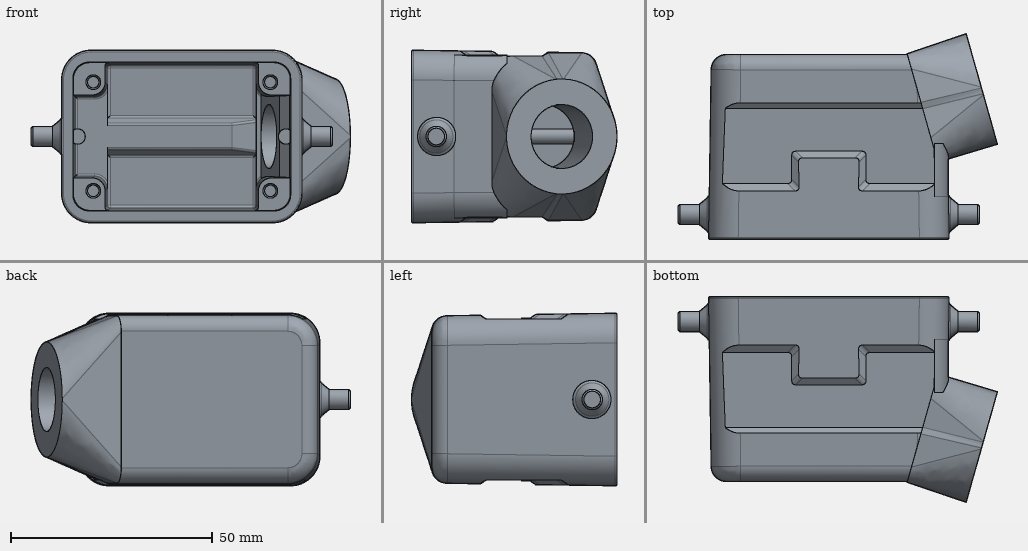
import cadquery as cq
import math


MARGIN = 0.8

BODY_LENGTH = 59.8
BODY_HEIGHT = 43.0
BODY_DEPTH = 46.0
BODY_CORNER = 7.4
BODY_DRAFT = 0.85
BACK_ROUND = 3.9
MOUTH_ROUND = 0.5
BACK_HALF_HEIGHT = BODY_HEIGHT / 2 - BODY_DEPTH * math.tan(math.radians(BODY_DRAFT))

PIN_SPAN = 75.0
PIN_RADIUS = 2.55
PIN_TIP_CHAMFER = 0.5
PIN_Y = 6.2
PIN_ROOT_X = 27.8
PIN_FLARE_X = 32.2
PIN_FLARE_MID = (30.3, 4.1)
PIN_FLARE_FOOT = (29.6, 5.0)

NECK_TILT = 15.8
NECK_RADIUS = 14.3
NECK_LENGTH = 15.5
NECK_REACH_X = 41.95
NECK_REACH_Y = 51.2
NECK_BASE_OUTER = 13.5
NECK_BASE_INNER = -14.55
NECK_OUTER_CORNER = 4.0
NECK_INNER_CORNER = 6.35
NECK_BORE_RADIUS = 7.95
NECK_BORE_LENGTH = 17.5
NECK_STEP_OUTER = 0.95
NECK_STEP_INNER = -0.7
RIM_NODE_ANGLES = (1, 88, 89, 95, 96, 179)
TILT = math.radians(NECK_TILT)
RIM_X = NECK_REACH_X - NECK_RADIUS * math.sin(TILT)
RIM_Y = NECK_REACH_Y - NECK_RADIUS * math.cos(TILT)

PAD_START_X = 26.2
PAD_START_Y = 10.65
PAD_END_Y = 23.8

PANEL_Z = 20.0
PANEL_MOUTH_Y = 12.15
PANEL_BACK_Y = 34.3
PANEL_RAMP = 1.75
TAB_HALF_WIDTH = 7.5
TAB_END_Y = 20.2
TAB_ROUND = 1.75
PANEL_CUT_HEIGHT = 1.6
PANEL_SLOPE = 55

MOUTH_POCKET_LENGTH = 54.2
MOUTH_POCKET_HEIGHT = 37.0
MOUTH_POCKET_CORNER = 4.1
BOSS_Y = 9.2
BOSS_SIDE_X = 19.2
BOSS_SIDE_Z = 10.5
BOSS_ROUND = 3.2
SHELF_Y = 40.5
FLOOR_Y = 43.7
CAVITY_DRAFT = 1.0
FLOOR_ROUND = 0.7
SHELF_ROUND = 0.5
BOSS_ROOT_ROUND = 0.8

BAY_WALL_SHALLOW = (24.3, 22.25)
BAY_WALL_DEEP_X = 19.7
BAY_LEDGE_Y = 19.1

RIDGE_TOP_HALF = 3.2
RIDGE_FOOT_HALF = 4.8
RIDGE_SLOPE_X = 12.5
RIDGE_LOW_Y = 42.3
RIDGE_ROUND = 0.7

RIB_RADIUS = 1.9
RIB_TIP_X = 24.0
SCREW_X = 22.0
SCREW_Z = 13.5
SCREW_RADIUS = 1.4
SCREW_MOUTH_RADIUS = 1.8
SCREW_DEPTH = 11.1


def layer(y):
    """Workplane parallel to the mouth whose extrusions go toward +Y, with local axes (X, -Z)."""
    return cq.Workplane(cq.Plane((0, y, 0), (1, 0, 0), (0, 1, 0)))


def neck_plane(offset):
    """Plane square to the neck axis, with local axes (across the neck, Z)."""
    axis = (math.cos(TILT), math.sin(TILT), 0)
    across = (-math.sin(TILT), math.cos(TILT), 0)
    origin = (RIM_X + offset * axis[0], RIM_Y + offset * axis[1], 0)
    return cq.Plane(origin, across, axis)


def make_body():
    body = layer(0).rect(BODY_LENGTH, BODY_HEIGHT).extrude(BODY_DEPTH, taper=BODY_DRAFT)
    body = body.edges("not(#Y)").fillet(BODY_CORNER)
    return body.faces(">Y").edges().fillet(BACK_ROUND).faces("<Y").edges().fillet(MOUTH_ROUND)


def trim_for_neck(body):
    """Cut the back corner of the body off square to the neck axis."""
    cutter_size = BODY_HEIGHT
    cutter = (
        cq.Workplane(neck_plane(-NECK_LENGTH))
        .center(NECK_BASE_INNER + MARGIN + cutter_size / 2, 0)
        .rect(cutter_size, cutter_size)
        .extrude(cutter_size)
    )
    return body.cut(cutter)


def corner_arc(center, radius, start, end):
    """Points at the middle and end of an arc given by its angles in degrees."""
    points = []
    for angle in ((start + end) / 2, end):
        turn = math.radians(angle)
        points.append((center[0] + radius * math.cos(turn), center[1] + radius * math.sin(turn)))
    return points


def neck_base_wire():
    outer, inner = NECK_OUTER_CORNER, NECK_INNER_CORNER
    high, low = BACK_HALF_HEIGHT, PANEL_Z
    outer_center = (NECK_BASE_OUTER - outer, high - outer)
    inner_center = (NECK_BASE_INNER + inner, low - inner)
    return (
        cq.Workplane(neck_plane(-NECK_LENGTH))
        .moveTo(NECK_BASE_OUTER, outer - high)
        .lineTo(NECK_BASE_OUTER, high - outer)
        .threePointArc(*corner_arc(outer_center, outer, 0, 90))
        .lineTo(NECK_STEP_OUTER, high)
        .lineTo(NECK_STEP_INNER, low)
        .lineTo(NECK_BASE_INNER + inner, low)
        .threePointArc(*corner_arc(inner_center, inner, 90, 180))
        .lineTo(NECK_BASE_INNER, inner - low)
        .threePointArc(*corner_arc((inner_center[0], -inner_center[1]), inner, 180, 270))
        .lineTo(NECK_STEP_INNER, -low)
        .lineTo(NECK_STEP_OUTER, -high)
        .lineTo(NECK_BASE_OUTER - outer, -high)
        .threePointArc(*corner_arc((outer_center[0], -outer_center[1]), outer, 270, 360))
        .close()
        .val()
    )


def neck_rim_wire():
    """Circle split at one node for every corner of the base section."""
    nodes = list(RIM_NODE_ANGLES) + [360 - angle for angle in reversed(RIM_NODE_ANGLES)]
    start = -RIM_NODE_ANGLES[0]
    turn = math.radians(start)
    rim = cq.Workplane(neck_plane(0)).moveTo(NECK_RADIUS * math.cos(turn), NECK_RADIUS * math.sin(turn))
    for node in nodes:
        rim = rim.threePointArc(*corner_arc((0, 0), NECK_RADIUS, start, node))
        start = node
    return rim.wire().val()


def make_neck():
    return cq.Workplane(cq.Solid.makeLoft([neck_base_wire(), neck_rim_wire()], True))


def make_pad():
    """Undrafted stretch of the +X wall that carries the foot of the neck."""
    shrink = 2 * PAD_START_Y * math.tan(math.radians(BODY_DRAFT))
    outline = cq.Sketch().rect(BODY_LENGTH - shrink, BODY_HEIGHT - shrink).vertices().fillet(BODY_CORNER)
    block = layer(PAD_START_Y).placeSketch(outline).extrude(PAD_END_Y - PAD_START_Y)
    keep = cq.Workplane().box(BODY_LENGTH, BODY_DEPTH, BODY_HEIGHT, centered=(False, False, True))
    return block.intersect(keep.translate((PAD_START_X, 0, 0)))


def cut_panels(body):
    """Sink a flat panel with sloped edges into both large sides, leaving a tab of full height."""
    panel_width = PANEL_BACK_Y - PANEL_MOUTH_Y - 2 * PANEL_RAMP
    panel_y = (PANEL_BACK_Y + PANEL_MOUTH_Y) / 2
    panel = cq.Workplane("XY", origin=(0, panel_y, PANEL_Z)).rect(BODY_LENGTH, panel_width)
    panel = panel.extrude(PANEL_CUT_HEIGHT, taper=-PANEL_SLOPE)
    tab_width = 2 * (TAB_HALF_WIDTH + PANEL_RAMP)
    tab_length = 2 * (TAB_END_Y + PANEL_RAMP)
    tab = cq.Workplane("XY", origin=(0, 0, PANEL_Z)).rect(tab_width, tab_length)
    tab = tab.extrude(PANEL_CUT_HEIGHT, taper=PANEL_SLOPE)
    tab = tab.edges("not(#Z)").fillet(TAB_ROUND)
    tab_feet = cq.selectors.BoxSelector(
        (-tab_width / 2, 0, PANEL_Z), (tab_width / 2, TAB_END_Y - PANEL_RAMP, BODY_HEIGHT))
    cutter = panel.cut(tab)
    cutter = cutter.edges("not(#Z)").edges(tab_feet).fillet(TAB_ROUND)
    return body.cut(cutter).cut(cutter.mirror("XY"))


def make_pins():
    """Both locking pins, each flaring into the body wall."""
    end = PIN_SPAN / 2
    profile = (
        cq.Workplane("XY")
        .polyline([
            (PIN_ROOT_X, 0), (end, 0), (end, PIN_RADIUS - PIN_TIP_CHAMFER),
            (end - PIN_TIP_CHAMFER, PIN_RADIUS), (PIN_FLARE_X, PIN_RADIUS),
            PIN_FLARE_MID, PIN_FLARE_FOOT, (PIN_ROOT_X, PIN_FLARE_FOOT[1]),
        ])
        .close()
    )
    pin = profile.revolve(360, (0, 0), (1, 0)).translate((0, PIN_Y, 0))
    return pin.union(pin.mirror("YZ"))


def make_center_space(depth):
    """Drafted space between the left and right pairs of bosses."""
    space = layer(0).rect(2 * BOSS_SIDE_X, MOUTH_POCKET_HEIGHT).extrude(depth, taper=CAVITY_DRAFT)
    return space.edges("not(#Y)").fillet(BOSS_ROOT_ROUND)


def make_bay_space():
    """Cross-shaped space between the four bosses, ending at the tilted wall of the right-hand bay."""
    bays = layer(0).rect(MOUTH_POCKET_LENGTH, 2 * BOSS_SIDE_Z).extrude(SHELF_Y, taper=CAVITY_DRAFT)
    cross = make_center_space(SHELF_Y).union(bays)
    boss_corners = cq.selectors.BoxSelector(
        (-BOSS_SIDE_X, 0, -BOSS_SIDE_Z), (BOSS_SIDE_X, SHELF_Y, BOSS_SIDE_Z))
    cross = cross.edges("not(#Y)").edges(boss_corners).fillet(BOSS_ROUND)
    cross = cross.faces(">Y").edges().fillet(SHELF_ROUND)
    bay_wall = (
        cq.Workplane("XY")
        .polyline([
            (MOUTH_POCKET_LENGTH / 2, BAY_LEDGE_Y), BAY_WALL_SHALLOW, (BAY_WALL_DEEP_X, SHELF_Y),
            (BODY_LENGTH / 2, SHELF_Y), (BODY_LENGTH / 2, BAY_LEDGE_Y),
        ])
        .close()
        .extrude(BODY_HEIGHT / 2, both=True)
    )
    return cross.cut(bay_wall)


def make_ridge():
    """Floor ridge between the two bays, sloping down toward the cable neck."""
    section = (
        cq.Workplane("YZ")
        .polyline([
            (SHELF_Y, RIDGE_TOP_HALF), (FLOOR_Y, RIDGE_FOOT_HALF),
            (FLOOR_Y, -RIDGE_FOOT_HALF), (SHELF_Y, -RIDGE_TOP_HALF),
        ])
        .close()
    )
    ridge = section.extrude(BOSS_SIDE_X, both=True)
    slope = (
        cq.Workplane("XY")
        .polyline([(RIDGE_SLOPE_X, SHELF_Y), (BOSS_SIDE_X, RIDGE_LOW_Y), (BOSS_SIDE_X, SHELF_Y)])
        .close()
        .extrude(BODY_HEIGHT / 2, both=True)
    )
    ridge = ridge.cut(slope)
    top_edges = cq.selectors.BoxSelector(
        (-BOSS_SIDE_X / 2, SHELF_Y - MARGIN, -BODY_HEIGHT), (BOSS_SIDE_X - MARGIN, RIDGE_LOW_Y, BODY_HEIGHT))
    return ridge.edges("not(#X)").edges(top_edges).fillet(RIDGE_ROUND)


def make_cavity():
    outline = cq.Sketch().rect(MOUTH_POCKET_LENGTH, MOUTH_POCKET_HEIGHT)
    outline = outline.vertices().fillet(MOUTH_POCKET_CORNER)
    mouth_pocket = layer(0).placeSketch(outline).extrude(BOSS_Y, taper=CAVITY_DRAFT)
    center = make_center_space(FLOOR_Y).cut(make_ridge())
    center = center.faces(">Y").edges().fillet(FLOOR_ROUND)
    return mouth_pocket.union(make_bay_space()).union(center)


def make_ribs():
    """Half-round ribs running along Y at the middle of both end walls."""
    center_x = RIB_TIP_X + RIB_RADIUS
    centers = layer(BOSS_Y).pushPoints([(-center_x, 0), (center_x, 0)])
    return centers.circle(RIB_RADIUS).extrude(SHELF_Y + MARGIN - BOSS_Y)


def cut_screw_holes(body):
    for x in (-SCREW_X, SCREW_X):
        for z in (-SCREW_Z, SCREW_Z):
            flare = SCREW_MOUTH_RADIUS - SCREW_RADIUS
            hole = layer(BOSS_Y).center(x, z).circle(SCREW_RADIUS).extrude(SCREW_DEPTH)
            mouth = layer(BOSS_Y).center(x, z).circle(SCREW_MOUTH_RADIUS).extrude(flare, taper=45)
            body = body.cut(hole).cut(mouth)
    return body


def cut_neck_bore(body):
    bore = cq.Workplane(neck_plane(-NECK_BORE_LENGTH)).circle(NECK_BORE_RADIUS).extrude(NECK_BORE_LENGTH)
    return body.cut(bore)


shell = cut_panels(trim_for_neck(make_body()))
shell = shell.union(make_pad()).union(make_neck()).union(make_pins())
shell = shell.cut(make_cavity())
shell = shell.union(make_ribs())
shell = cut_screw_holes(shell)
result = cut_neck_bore(shell)